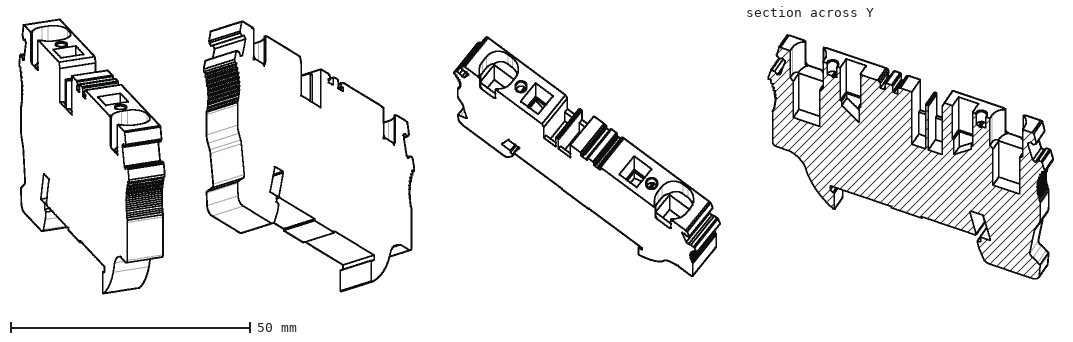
import cadquery as cq
import math

LENGTH = 64.25
THICKNESS = 8.0
HEIGHT = 42.9
HALF_LENGTH = LENGTH / 2

WALL_X = 31.1
GRIP_TOP_Z = 32.4
GRIP_BOTTOM_Z = 22.9
RAIL_SEAT_Z = 7.1

GRIP_TEETH = 10
GRIP_RADIUS = 11.55
GRIP_CENTER_Z = 26.6
GRIP_DEEPEST_TIP_X = 30.5
TOOTH_DEPTH = 0.2
TOOTH_UNDERSIDE = 0.1
TOOTH_FLAT_START = 0.5
GRIP_PITCH = (GRIP_TOP_Z - GRIP_BOTTOM_Z) / GRIP_TEETH

SLOT_LEFT_X = -8.3
SLOT_RIGHT_X = -1.3
SLOT_FLOOR_Z = 34.0
SLOT_CORNER_WIDTH = 0.5
SLOT_CORNER_HEIGHT = 1.2
SLOT_POCKET_DEPTH = 6.4
SLOT_FRONT_LEDGE = 0.7
SLOT_BACK_LEDGE = 0.9
BLADE_THICKNESS = 0.7
BLADE_TOP_Z = 40.6
BLADE_TIP_CHAMFER = 0.2

GROOVE_DEPTH = 2.0
GROOVE_FLOOR_Z = HEIGHT - GROOVE_DEPTH
GROOVES_CENTER_X = 4.05
GROOVES_HALF_SPAN = 2.0
GROOVE_MOUTH_HALF_SPAN = 2.65
GROOVE_MOUTH_BEVEL_WIDTH = 0.4
GROOVE_MOUTH_BEVEL_HEIGHT = 0.1
GROOVE_LIP_HEIGHT = 0.6
RIDGE_HALF_WIDTH = 0.9
RIDGE_CHAMFER = 0.25
RIDGE_FOOT_WIDTH = 0.3
RIDGE_FOOT_HEIGHT = 0.1

HOOK_DEPTH = 0.65
HOOK_REACH = 0.6
HOOK_HEIGHT = 0.85

SHAFT_X = 23.2
SHAFT_FRONT_Y = -0.05
SHAFT_BACK_Y = 7.65
SHAFT_WIDTH = 7.6
SHAFT_CORNER_RADIUS = 3.15
SHAFT_DEPTH = 19.3
FUNNEL_TOP_DEPTH = 6.1
FUNNEL_BOTTOM_DEPTH = 8.7
FUNNEL_THROAT_LENGTH = 6.1
FUNNEL_THROAT_WIDTH = 4.8
FUNNEL_THROAT_Y = 3.8
FUNNEL_THROAT_FRONT_Y = FUNNEL_THROAT_Y - FUNNEL_THROAT_WIDTH / 2
FUNNEL_END_SLOPE = 1.0
FUNNEL_SIDE_SLOPE = 0.8
WINDOW_WIDTH = 4.2
WINDOW_CORNER_RADIUS = 0.8
WINDOW_LIP = 0.65
WINDOW_RELIEF_LENGTH = 5.1
WINDOW_RELIEF_DEPTH = 0.1

TEST_HOLE_X = 17.3
TEST_HOLE_Y = 3.8
TEST_HOLE_DIAMETER = 2.2
TEST_HOLE_RIM_DIAMETER = 2.5
TEST_HOLE_RIM_DEPTH = 0.25
TEST_HOLE_DEPTH = 3.2
SCREW_SLOT_WIDTH = 0.4
SCREW_SLOT_OFFSET = 0.25
SCREW_SLOT_DEPTH = 0.3

ENTRY_X = 13.05
ENTRY_Y = 3.7
ENTRY_LENGTH = 4.6
ENTRY_WIDTH = 5.1
ENTRY_INNER_LENGTH = 3.9
ENTRY_INNER_WIDTH = 4.3
ENTRY_STEP_DEPTH = 9.65
ENTRY_DEPTH = 14.15
ENTRY_FLOOR_RISE = 3.2


def grip_tip_x(z):
    """Distance from mid-length to the arc that the tooth tips follow."""
    return GRIP_DEEPEST_TIP_X + GRIP_RADIUS - math.sqrt(GRIP_RADIUS**2 - (z - GRIP_CENTER_Z) ** 2)


def grip_points():
    """Right-hand teeth from the top of the grip down: tip, root and start of the next flat."""
    points = []
    for tooth in range(GRIP_TEETH):
        tip_z = GRIP_TOP_Z - tooth * GRIP_PITCH
        next_tip_x = grip_tip_x(tip_z - GRIP_PITCH)
        points.append((grip_tip_x(tip_z), tip_z))
        points.append((next_tip_x - TOOTH_DEPTH, tip_z - TOOTH_UNDERSIDE * GRIP_PITCH))
        points.append((next_tip_x, tip_z - TOOTH_FLAT_START * GRIP_PITCH))
    return points


def end_points():
    """Right-hand end of the block, from the top face down to the flat end wall."""
    marker_notch = [
        (29.2, HEIGHT), (29.6, 42.8), (30.2, 40.3), (30.05, 39.9), (29.5, 39.4), (28.85, 39.8), (28.2, 39.25),
        (29.35, 34.95), (29.95, 34.55), (30.6, 35.3), (31.3, 35.3), (31.55, 35.15), (HALF_LENGTH, 32.95),
    ]
    return marker_notch + grip_points() + [(WALL_X, GRIP_BOTTOM_Z)]


def groove_points():
    """Marker grooves and ridge in the top face, from left to right."""
    left_half = [
        (-GROOVE_MOUTH_HALF_SPAN, HEIGHT),
        (-GROOVE_MOUTH_HALF_SPAN + GROOVE_MOUTH_BEVEL_WIDTH, HEIGHT - GROOVE_MOUTH_BEVEL_HEIGHT),
        (-GROOVES_HALF_SPAN, HEIGHT - GROOVE_LIP_HEIGHT),
        (-GROOVES_HALF_SPAN, GROOVE_FLOOR_Z),
        (-RIDGE_HALF_WIDTH - RIDGE_FOOT_WIDTH, GROOVE_FLOOR_Z),
        (-RIDGE_HALF_WIDTH, GROOVE_FLOOR_Z + RIDGE_FOOT_HEIGHT),
        (-RIDGE_HALF_WIDTH, HEIGHT - RIDGE_CHAMFER),
        (-RIDGE_HALF_WIDTH + RIDGE_CHAMFER, HEIGHT),
    ]
    right_half = [(-x, z) for x, z in reversed(left_half)]
    return [(GROOVES_CENTER_X + x, z) for x, z in left_half + right_half]


def line_through(outline, points):
    for point in points:
        outline = outline.lineTo(*point)
    return outline


def make_body():
    right_end = end_points()
    left_end = [(-x, z) for x, z in reversed(right_end)]

    outline = cq.Workplane("XZ").moveTo(*left_end[-1])
    outline = outline.lineTo(SLOT_LEFT_X - SLOT_CORNER_WIDTH, HEIGHT)
    outline = line_through(outline, [
        (SLOT_LEFT_X, HEIGHT - SLOT_CORNER_HEIGHT), (SLOT_LEFT_X, SLOT_FLOOR_Z),
        (SLOT_RIGHT_X, SLOT_FLOOR_Z), (SLOT_RIGHT_X, HEIGHT),
    ])
    outline = line_through(outline, groove_points())

    outline = line_through(outline, right_end)
    outline = outline.lineTo(WALL_X, 14.2).radiusArc((30.2, 13.3), 0.9)
    outline = outline.lineTo(27.1, 13.3).threePointArc((25.2, 12.35), (23.7, 10.55))
    outline = outline.lineTo(22.95, 8.1).threePointArc((20.5, 3.9), (17.1, 0.7))
    outline = line_through(outline, [(16.7, 0.7), (16.7, 5.5), (17.1, 5.5), (17.65, 6.05), (17.65, RAIL_SEAT_Z)])

    outline = line_through(outline, [
        (3.55, RAIL_SEAT_Z), (3.55, 6.75), (-3.55, 6.75), (-3.55, RAIL_SEAT_Z),
        (-16.0, RAIL_SEAT_Z), (-16.25, 7.45), (-14.8, 13.4), (-14.9, 13.7), (-17.7, 13.7),
        (-19.45, RAIL_SEAT_Z),
    ])

    outline = line_through(outline, [(-17.15, RAIL_SEAT_Z), (-17.15, 5.8), (-16.4, 5.45), (-16.75, 3.65)])
    outline = outline.lineTo(-17.85, 0.9).threePointArc((-18.3, 0.3), (-19.2, 0.0))
    outline = outline.lineTo(-29.15, 0.0).threePointArc((-30.4, 0.5), (-30.9, 1.75))
    outline = line_through(outline, [(-WALL_X, 4.6), (-31.0, 4.9), (-30.45, 5.4)])
    outline = outline.lineTo(-29.35, 6.35).threePointArc((-28.85, 6.8), (-28.7, 7.6))
    outline = outline.lineTo(-29.75, 14.3).threePointArc((-29.8, 14.7), (-30.0, 15.1))
    outline = outline.lineTo(-30.65, 16.4).threePointArc((-30.95, 17.2), (-WALL_X, 18.1))

    outline = line_through(outline, left_end[:-1])
    return outline.close().extrude(-THICKNESS)


def box_between(x_range, y_range, z_range):
    size = [high - low for low, high in (x_range, y_range, z_range)]
    corner = (x_range[0], y_range[0], z_range[0])
    return cq.Workplane("XY").box(*size, centered=False).translate(corner)


def make_slot_pocket():
    return box_between(
        (SLOT_LEFT_X, SLOT_RIGHT_X),
        (SLOT_FRONT_LEDGE, THICKNESS - SLOT_BACK_LEDGE),
        (SLOT_FLOOR_Z - SLOT_POCKET_DEPTH, SLOT_FLOOR_Z),
    )


def make_blade():
    center_x = (SLOT_LEFT_X + SLOT_RIGHT_X) / 2
    blade = box_between(
        (center_x - BLADE_THICKNESS / 2, center_x + BLADE_THICKNESS / 2),
        (0, THICKNESS),
        (SLOT_FLOOR_Z - SLOT_POCKET_DEPTH, BLADE_TOP_Z),
    )
    return blade.faces(">Z").edges("|Y").chamfer(BLADE_TIP_CHAMFER)


def make_groove_hook(side):
    """Undercut in the outer wall of one marker groove, open to the front face."""
    near_x = GROOVES_CENTER_X + side * GROOVES_HALF_SPAN
    far_x = near_x + side * HOOK_REACH
    return box_between(
        sorted((near_x, far_x)), (0, HOOK_DEPTH), (GROOVE_FLOOR_Z, GROOVE_FLOOR_Z + HOOK_HEIGHT)
    )


def window_wire(center_x, y, sill_z):
    """Closed window profile with rounded lower corners, reaching above the top face."""
    half_width = WINDOW_WIDTH / 2
    profile = (
        cq.Workplane("XZ", origin=(center_x, y, sill_z))
        .moveTo(-half_width, HEIGHT)
        .lineTo(-half_width, WINDOW_CORNER_RADIUS)
        .radiusArc((-half_width + WINDOW_CORNER_RADIUS, 0), -WINDOW_CORNER_RADIUS)
        .lineTo(half_width - WINDOW_CORNER_RADIUS, 0)
        .radiusArc((half_width, WINDOW_CORNER_RADIUS), -WINDOW_CORNER_RADIUS)
        .lineTo(half_width, HEIGHT)
        .close()
    )
    return profile.val()


def make_shaft(center_x):
    """Screwdriver shaft: round-cornered well, funnel and rectangular throat, open at the front."""
    center_y = (SHAFT_FRONT_Y + SHAFT_BACK_Y) / 2
    well = (
        cq.Workplane("XY", origin=(center_x, center_y, HEIGHT))
        .rect(SHAFT_WIDTH, SHAFT_BACK_Y - SHAFT_FRONT_Y)
        .extrude(-FUNNEL_BOTTOM_DEPTH)
        .edges("|Z")
        .fillet(SHAFT_CORNER_RADIUS)
    )

    funnel_height = FUNNEL_BOTTOM_DEPTH - FUNNEL_TOP_DEPTH
    mouth_length = FUNNEL_THROAT_LENGTH + 2 * FUNNEL_END_SLOPE * funnel_height
    mouth_width = FUNNEL_THROAT_WIDTH + 2 * FUNNEL_SIDE_SLOPE * funnel_height
    funnel = (
        cq.Workplane("XY", origin=(center_x, FUNNEL_THROAT_Y, HEIGHT - FUNNEL_BOTTOM_DEPTH))
        .rect(FUNNEL_THROAT_LENGTH, FUNNEL_THROAT_WIDTH)
        .workplane(offset=funnel_height)
        .rect(mouth_length, mouth_width)
        .loft()
    )
    upper_space = (
        cq.Workplane("XY", origin=(center_x, center_y, HEIGHT - FUNNEL_TOP_DEPTH))
        .rect(2 * SHAFT_WIDTH, 2 * SHAFT_WIDTH)
        .extrude(FUNNEL_TOP_DEPTH)
    )
    well = well.intersect(funnel.union(upper_space))

    sill_drop = WINDOW_LIP / FUNNEL_SIDE_SLOPE
    sill_depth = FUNNEL_BOTTOM_DEPTH - FUNNEL_THROAT_FRONT_Y / FUNNEL_SIDE_SLOPE
    front_profile = window_wire(center_x, 0, HEIGHT - sill_depth)
    rear_profile = window_wire(center_x, WINDOW_LIP, HEIGHT - sill_depth - sill_drop)
    window = cq.Workplane(cq.Solid.makeLoft([front_profile, rear_profile], True))

    throat = (
        cq.Workplane("XY", origin=(center_x, FUNNEL_THROAT_Y, HEIGHT - SHAFT_DEPTH))
        .rect(FUNNEL_THROAT_LENGTH, FUNNEL_THROAT_WIDTH)
        .extrude(SHAFT_DEPTH - FUNNEL_BOTTOM_DEPTH)
    )
    half_relief = WINDOW_RELIEF_LENGTH / 2
    relief = box_between(
        (center_x - half_relief, center_x + half_relief),
        (0, WINDOW_LIP),
        (HEIGHT - WINDOW_RELIEF_DEPTH, HEIGHT),
    )
    return well.union(window).union(throat).union(relief)


def make_test_hole(side):
    """Rimmed round hole with a screwdriver slot in its floor, shifted towards mid-length."""
    center_x = side * TEST_HOLE_X
    top = cq.Workplane("XY", origin=(center_x, TEST_HOLE_Y, HEIGHT))
    hole = top.circle(TEST_HOLE_DIAMETER / 2).extrude(-TEST_HOLE_DEPTH)
    rim = top.circle(TEST_HOLE_RIM_DIAMETER / 2).extrude(-TEST_HOLE_RIM_DEPTH)
    slot_x = center_x - side * SCREW_SLOT_OFFSET
    slot = (
        cq.Workplane("XY", origin=(slot_x, TEST_HOLE_Y, HEIGHT - TEST_HOLE_DEPTH))
        .rect(SCREW_SLOT_WIDTH, TEST_HOLE_DIAMETER)
        .extrude(-SCREW_SLOT_DEPTH)
    )
    return hole.union(rim).union(slot)


def make_wire_entry(side):
    """Stepped square socket whose floor rises towards the end of the block."""
    center_x = side * ENTRY_X
    top = cq.Workplane("XY", origin=(center_x, ENTRY_Y, HEIGHT))
    mouth = top.rect(ENTRY_LENGTH, ENTRY_WIDTH).extrude(-ENTRY_STEP_DEPTH)
    inner = top.rect(ENTRY_INNER_LENGTH, ENTRY_INNER_WIDTH).extrude(-ENTRY_DEPTH)

    low_x = center_x - side * ENTRY_INNER_LENGTH / 2
    high_x = center_x + side * ENTRY_INNER_LENGTH / 2
    floor_z = HEIGHT - ENTRY_DEPTH
    floor_wedge = (
        cq.Workplane("XZ")
        .polyline([(low_x, floor_z), (high_x, floor_z), (high_x, floor_z + ENTRY_FLOOR_RISE)])
        .close()
        .extrude(-THICKNESS)
    )
    return mouth.union(inner.cut(floor_wedge))


result = make_body().cut(make_slot_pocket()).union(make_blade())
for side in (-1, 1):
    result = result.cut(make_groove_hook(side))
    result = result.cut(make_shaft(side * SHAFT_X))
    result = result.cut(make_test_hole(side))
    result = result.cut(make_wire_entry(side))